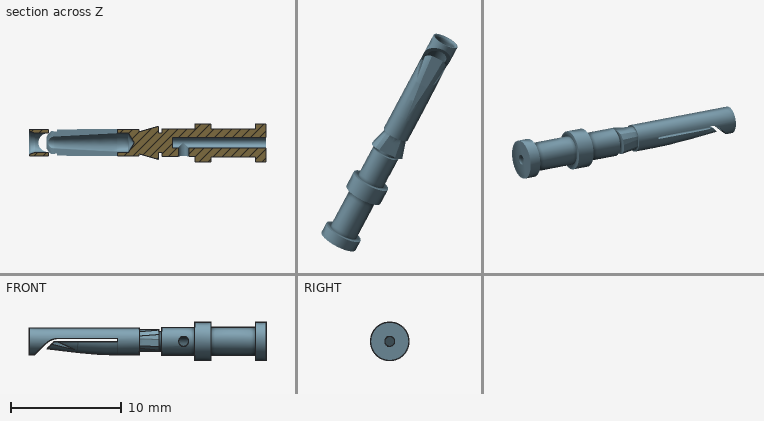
import cadquery as cq
import math

SOCKET_DIAMETER = 2.45
SOCKET_END = 10.0
NECK_DIAMETER = 1.8
NECK_END = 12.0
BARREL_DIAMETER = 2.55
BARREL_END = 15.0
FLANGE_DIAMETER = 3.5
FLANGE_END = 16.5
REAR_DIAMETER = 2.6
REAR_END = 20.5
TOTAL_LENGTH = 21.5

BORE_DIAMETER = 1.7
BORE_DEPTH = 9.0
DRILL_POINT_ANGLE = 118.0
LEAD_IN_DIAMETERS = (2.25, 1.95)
LEAD_IN_DEPTHS = (0.15, 0.575)

WIRE_BORE_DIAMETER = 0.9
WIRE_BORE_START = 13.0
INSPECTION_DIAMETER = 0.9
INSPECTION_X = 14.0

SLOT_TOP = 0.25
SLOT_END = 8.0
SLOT_START = 0.5
SLOT_BEND_RADIUS = 1.6
SLOT_ANGLE = math.radians(45)

TONGUE_TOP = -0.03
TONGUE_TOP_START = 2.27
TONGUE_BEND_ANGLE = math.radians(5.2)
TONGUE_BEND_LENGTH = 3.55
UNDERSIDE_ANGLE = math.radians(6.8)
ROOT_OVERLAP = 0.03
TONGUE_TIP_BORE_RADIUS = 0.54

RELIEF_TOP_END_X = 2.57
RELIEF_LOW_END = (4.1, -0.72)
RELIEF_TIP_X = 2.15
RELIEF_TIP_HALF_WIDTH = 1.04
RELIEF_END_HALF_WIDTH = 0.80

COLLAR_END = 11.75
COLLAR_FRONT_FLANK = (
    (0.0, 1.09), (0.29, 1.05), (0.68, 0.87), (0.95, 0.49), (1.03, 0.23),
    (1.03, -0.42), (0.88, -0.62), (0.55, -0.88),
)
COLLAR_REAR_FLANK = (
    (0.0, 1.09), (0.55, 1.07), (0.94, 1.02), (1.39, 0.62), (1.53, 0.17),
    (1.53, -0.46), (1.18, -0.80), (0.80, -0.94),
)

socket_radius = SOCKET_DIAMETER / 2
bore_radius = BORE_DIAMETER / 2
flange_radius = FLANGE_DIAMETER / 2


def rod(start, end, diameter):
    """Cylinder on the X axis."""
    return cq.Workplane("YZ", origin=(start, 0, 0)).circle(diameter / 2).extrude(end - start)


def across(outline):
    """Side outline in XZ extruded across the full width of the part."""
    return outline.close().extrude(flange_radius, both=True)


def turned_body():
    steps = (
        (SOCKET_END, SOCKET_DIAMETER),
        (NECK_END, NECK_DIAMETER),
        (BARREL_END, BARREL_DIAMETER),
        (FLANGE_END, FLANGE_DIAMETER),
        (REAR_END, REAR_DIAMETER),
        (TOTAL_LENGTH, FLANGE_DIAMETER),
    )
    outline = cq.Workplane("XZ").moveTo(0, 0)
    start = 0
    for end, diameter in steps:
        outline = outline.lineTo(start, diameter / 2).lineTo(end, diameter / 2)
        start = end
    outline = outline.lineTo(TOTAL_LENGTH, 0).close()
    return outline.revolve(360, (0, 0, 0), (1, 0, 0))


def collar():
    """Ruled faceted flare, symmetric about the XZ plane."""
    def section(flank):
        mirrored = [(-y, z) for y, z in reversed(flank) if y > 0]
        return list(flank) + mirrored

    return (
        cq.Workplane("YZ", origin=(SOCKET_END, 0, 0))
        .polyline(section(COLLAR_FRONT_FLANK)).close()
        .workplane(offset=COLLAR_END - SOCKET_END)
        .polyline(section(COLLAR_REAR_FLANK)).close()
        .loft(ruled=True, combine=True)
    )


def socket_bore():
    point_depth = bore_radius / math.tan(math.radians(DRILL_POINT_ANGLE / 2))
    mouth_diameter, throat_diameter = LEAD_IN_DIAMETERS
    throat_depth, bore_start = LEAD_IN_DEPTHS
    return (
        cq.Workplane("XZ").moveTo(0, 0)
        .lineTo(0, mouth_diameter / 2)
        .lineTo(throat_depth, throat_diameter / 2)
        .lineTo(bore_start, bore_radius)
        .lineTo(BORE_DEPTH, bore_radius)
        .lineTo(BORE_DEPTH + point_depth, 0)
        .close()
        .revolve(360, (0, 0, 0), (1, 0, 0))
    )


def slot():
    """Everything below the slot's upper edge, which runs up a ramp and bends level."""
    ramp_end_z = SLOT_TOP - SLOT_BEND_RADIUS * (1 - math.cos(SLOT_ANGLE))
    ramp_end_x = SLOT_START + (ramp_end_z + socket_radius) / math.tan(SLOT_ANGLE)
    bend_x = ramp_end_x + SLOT_BEND_RADIUS * math.sin(SLOT_ANGLE)
    bend_z = SLOT_TOP - SLOT_BEND_RADIUS
    mid_x = bend_x - SLOT_BEND_RADIUS * math.sin(SLOT_ANGLE / 2)
    mid_z = bend_z + SLOT_BEND_RADIUS * math.cos(SLOT_ANGLE / 2)
    return across(
        cq.Workplane("XZ").moveTo(SLOT_START, -socket_radius)
        .lineTo(ramp_end_x, ramp_end_z)
        .threePointArc((mid_x, mid_z), (bend_x, SLOT_TOP))
        .lineTo(SLOT_END, SLOT_TOP)
        .lineTo(SLOT_END, -flange_radius)
        .lineTo(SLOT_START, -flange_radius)
    )


def bend_point(start_z, angle, fraction=1.0):
    """Point on an arc that leaves the slot end level and has risen to the angle at full length."""
    radius = TONGUE_BEND_LENGTH / math.sin(angle)
    turned = angle * fraction
    return SLOT_END - radius * math.sin(turned), start_z + radius * (1 - math.cos(turned))


def bent_rod(root_x):
    """Rod as thick as the socket whose axis bends up towards the tip."""
    bend_x, bend_z = bend_point(0, TONGUE_BEND_ANGLE)
    axis = (
        cq.Workplane("XZ").moveTo(root_x, 0)
        .lineTo(SLOT_END, 0)
        .threePointArc(bend_point(0, TONGUE_BEND_ANGLE, 0.5), (bend_x, bend_z))
        .lineTo(0, bend_z + bend_x * math.tan(TONGUE_BEND_ANGLE))
    )
    return cq.Workplane("YZ", origin=(root_x, 0, 0)).circle(socket_radius).sweep(axis)


def tongue():
    bend_x, bend_z = bend_point(-socket_radius, UNDERSIDE_ANGLE)
    tip_slope = math.tan(SLOT_ANGLE)
    rise = math.tan(UNDERSIDE_ANGLE)
    tip_x = (bend_z + rise * bend_x - TONGUE_TOP + tip_slope * TONGUE_TOP_START) / (tip_slope + rise)
    tip_z = TONGUE_TOP - tip_slope * (TONGUE_TOP_START - tip_x)
    root_x = SLOT_END + ROOT_OVERLAP
    profile = across(
        cq.Workplane("XZ").moveTo(TONGUE_TOP_START, TONGUE_TOP)
        .lineTo(root_x, TONGUE_TOP)
        .lineTo(root_x, -socket_radius)
        .lineTo(SLOT_END, -socket_radius)
        .threePointArc(bend_point(-socket_radius, UNDERSIDE_ANGLE, 0.5), (bend_x, bend_z))
        .lineTo(tip_x, tip_z)
    )

    hollow = (
        cq.Workplane("XZ").moveTo(0, 0)
        .lineTo(0, TONGUE_TIP_BORE_RADIUS)
        .lineTo(TONGUE_TOP_START, TONGUE_TIP_BORE_RADIUS)
        .lineTo(SLOT_END, bore_radius)
        .lineTo(root_x, bore_radius)
        .lineTo(root_x, 0)
        .close()
        .revolve(360, (0, 0, 0), (1, 0, 0))
    )
    return bent_rod(root_x).intersect(profile).cut(hollow).cut(flank_reliefs())


def flank_reliefs():
    """Cutters outside two tapering flats, stopped by a step that slants down to a point."""
    low_x, low_z = RELIEF_LOW_END
    region = across(
        cq.Workplane("XZ").moveTo(0, TONGUE_TOP)
        .lineTo(RELIEF_TOP_END_X, TONGUE_TOP)
        .lineTo(low_x, low_z)
        .lineTo(0, low_z)
    )
    taper = (RELIEF_TIP_HALF_WIDTH - RELIEF_END_HALF_WIDTH) / (low_x - RELIEF_TIP_X)
    half_width_at_mouth = RELIEF_TIP_HALF_WIDTH + taper * RELIEF_TIP_X
    kept = (
        cq.Workplane("XY", origin=(0, 0, -flange_radius))
        .polyline([
            (0, half_width_at_mouth), (low_x, RELIEF_END_HALF_WIDTH),
            (low_x, -RELIEF_END_HALF_WIDTH), (0, -half_width_at_mouth),
        ])
        .close()
        .extrude(FLANGE_DIAMETER)
    )
    return region.cut(kept)


def inspection_hole():
    return (
        cq.Workplane("XZ", origin=(INSPECTION_X, 0, 0))
        .circle(INSPECTION_DIAMETER / 2)
        .extrude(flange_radius)
    )


result = (
    turned_body()
    .union(collar())
    .cut(socket_bore())
    .cut(slot())
    .union(tongue())
    .cut(rod(WIRE_BORE_START, TOTAL_LENGTH, WIRE_BORE_DIAMETER))
    .cut(inspection_hole())
)